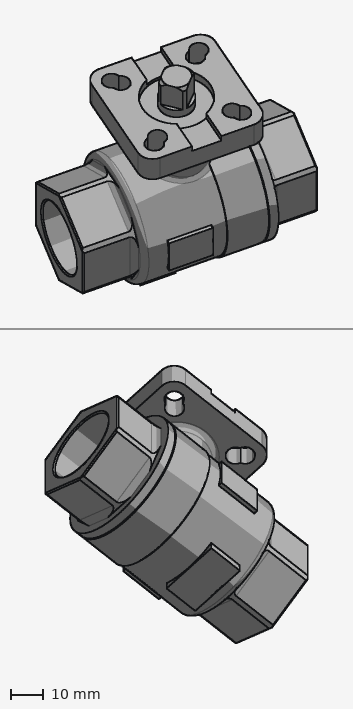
import cadquery as cq
import math


total_length = 80.0
bore_diameter = 20.0
fillet_radius = 2.0
overlap = 0.8

body_diameter = 43.0
body_front_y = -22.0
cap_diameter = 44.0
cap_front_y = 6.6
cap_rear_y = 24.0
groove_front_y = 20.7
groove_width = 0.2
groove_depth = 0.2

hex_flats = 33.0
hex_corner_flats = 37.1
hex_chamfer = 0.5
socket_diameter = 24.1
socket_depth = 18.0
socket_chamfer = 0.5

neck_diameter = 22.0
plate_side = 42.0
plate_thickness = 9.0
plate_top_z = 44.0
plate_bottom_z = plate_top_z - plate_thickness
plate_corner_radius = 5.0
bolt_hole_diameter = 6.0
bolt_circle_diameters = (36.0, 42.0)
slot_width = 10.0
slot_depth = 2.0
recess_diameter = 23.0
recess_depth = 3.0

stem_diameter = 11.5
stem_flats = 9.0
stem_top_z = 53.0
stem_chamfer = 1.0

pad_reach = cap_diameter / 2
side_pad_length = 15.0
side_pad_height = 12.0
side_pad_y = -5.8
bottom_pad_width = 20.0
bottom_pad_length = 12.0
bottom_pad_y = -11.2


def y_cylinder(diameter, y_start, y_end):
    """Cylinder on the bore axis between two Y positions."""
    workplane = cq.Workplane("XZ", origin=(0, y_start, 0))
    return workplane.circle(diameter / 2).extrude(y_start - y_end)


def z_cylinder(diameter, z_start, z_end):
    """Cylinder on the stem axis between two Z positions."""
    return cq.Workplane("XY").workplane(offset=z_start).circle(diameter / 2).extrude(z_end - z_start)


def make_barrel_with_neck():
    """Rounded barrel with the neck blended into it."""
    barrel = y_cylinder(body_diameter, body_front_y, cap_rear_y)
    barrel = barrel.faces("<Y").edges().fillet(fillet_radius)
    neck = z_cylinder(neck_diameter, 0, plate_bottom_z)
    seam = cq.selectors.BoxSelector(
        (-neck_diameter, -neck_diameter / 2 - overlap, overlap),
        (neck_diameter, neck_diameter / 2 + overlap, body_diameter / 2 + overlap),
    )
    return barrel.union(neck).edges(seam).fillet(fillet_radius)


def make_cap():
    """Larger cap at the rear of the barrel, with a fine groove around it."""
    cap = y_cylinder(cap_diameter, cap_front_y, cap_rear_y)
    groove_rear_y = groove_front_y + groove_width
    groove = y_cylinder(cap_diameter, groove_front_y, groove_rear_y)
    groove = groove.cut(y_cylinder(cap_diameter - 2 * groove_depth, groove_front_y, groove_rear_y))
    return cap.cut(groove)


def make_plate():
    """Square mounting plate with its blend onto the neck."""
    plate = (
        cq.Workplane("XY")
        .workplane(offset=plate_bottom_z)
        .rect(plate_side, plate_side)
        .extrude(plate_thickness)
        .edges("|Z")
        .fillet(plate_corner_radius)
    )
    neck_radius = neck_diameter / 2
    blend_bottom_z = plate_bottom_z - fillet_radius
    blend_offset = fillet_radius * (1 - math.sqrt(0.5))
    blend = (
        cq.Workplane("XZ")
        .moveTo(0, blend_bottom_z)
        .lineTo(neck_radius, blend_bottom_z)
        .threePointArc(
            (neck_radius + blend_offset, plate_bottom_z - blend_offset),
            (neck_radius + fillet_radius, plate_bottom_z),
        )
        .lineTo(neck_radius + fillet_radius, plate_bottom_z + overlap)
        .lineTo(0, plate_bottom_z + overlap)
        .close()
        .revolve(360, (0, 0, 0), (0, 1, 0))
    )
    return plate.union(blend)


def cut_plate_details(valve):
    """Cut the cross slot, the stem recess and the paired bolt holes."""
    slot = cq.Workplane("XY").box(plate_side, slot_width, slot_depth, centered=(True, True, False))
    valve = valve.cut(slot.translate((0, 0, plate_top_z - slot_depth)))
    valve = valve.cut(z_cylinder(recess_diameter, plate_top_z - recess_depth, plate_top_z))
    for circle_diameter in bolt_circle_diameters:
        holes = (
            cq.Workplane("XY")
            .workplane(offset=plate_bottom_z)
            .polarArray(circle_diameter / 2, 45, 360, 4)
            .circle(bolt_hole_diameter / 2)
            .extrude(plate_thickness)
        )
        valve = valve.cut(holes)
    return valve


def make_stem():
    """Round collar level with the plate top, carrying a square drive with turned corners."""
    collar = z_cylinder(stem_diameter, plate_top_z - recess_depth - overlap, plate_top_z)
    turned = z_cylinder(stem_diameter, plate_top_z, stem_top_z).faces(">Z").chamfer(stem_chamfer)
    square = (
        cq.Workplane("XY")
        .workplane(offset=plate_top_z)
        .transformed(rotate=(0, 0, 45))
        .rect(stem_flats, stem_flats)
        .extrude(stem_top_z - plate_top_z)
    )
    return collar.union(turned.intersect(square))


def flared_slab(root_y):
    """Slab between two opposite hexagon flats, chamfered at its end and flared at its root."""
    half = hex_flats / 2
    end_y = total_length / 2
    flared_half = half + fillet_radius
    flare_y = root_y + fillet_radius
    blend_offset = fillet_radius * (1 - math.sqrt(0.5))
    return (
        cq.Workplane("XY")
        .moveTo(-flared_half, root_y - overlap)
        .lineTo(flared_half, root_y - overlap)
        .lineTo(flared_half, root_y)
        .threePointArc((half + blend_offset, root_y + blend_offset), (half, flare_y))
        .lineTo(half, end_y - hex_chamfer)
        .lineTo(half - hex_chamfer, end_y)
        .lineTo(-half + hex_chamfer, end_y)
        .lineTo(-half, end_y - hex_chamfer)
        .lineTo(-half, flare_y)
        .threePointArc((-half - blend_offset, root_y + blend_offset), (-flared_half, root_y))
        .close()
        .extrude(total_length / 2, both=True)
    )


def make_hex_end(root_y):
    """Hexagonal end pointing to +Y, with two flats facing +X and -X and its corners cut flat."""
    corner_circle = hex_corner_flats / math.cos(math.pi / 6)
    hex_end = (
        cq.Workplane("XZ", origin=(0, root_y - overlap, 0))
        .polygon(6, corner_circle)
        .extrude(-(total_length / 2 - root_y + overlap))
    )
    slab = flared_slab(root_y)
    for angle in (0, 60, 120):
        hex_end = hex_end.intersect(slab.rotate((0, 0, 0), (0, 1, 0), angle))
    return hex_end


def make_socket():
    """Counterbore shape at the +Y end, with its entry chamfer."""
    end_y = total_length / 2
    radius = socket_diameter / 2
    return (
        cq.Workplane("XY")
        .moveTo(0, end_y - socket_depth)
        .lineTo(radius, end_y - socket_depth)
        .lineTo(radius, end_y - socket_chamfer)
        .lineTo(radius + socket_chamfer, end_y)
        .lineTo(0, end_y)
        .close()
        .revolve(360, (0, 0, 0), (0, 1, 0))
    )


def make_pads():
    """Flat pads on both sides and underneath the barrel."""
    side_pads = cq.Workplane("XY").box(2 * pad_reach, side_pad_length, side_pad_height)
    bottom_pad = cq.Workplane("XY").box(
        bottom_pad_width, bottom_pad_length, pad_reach, centered=(True, True, False)
    )
    return side_pads.translate((0, side_pad_y, 0)).union(bottom_pad.translate((0, bottom_pad_y, -pad_reach)))


result = make_barrel_with_neck()
result = result.union(make_cap())
result = result.union(make_plate())
result = cut_plate_details(result)
result = result.union(make_stem())
result = result.union(make_pads())
result = result.union(make_hex_end(cap_rear_y))
result = result.union(make_hex_end(-body_front_y).mirror("XZ"))
result = result.cut(y_cylinder(bore_diameter, -total_length / 2, total_length / 2))
result = result.cut(make_socket())
result = result.cut(make_socket().mirror("XZ"))